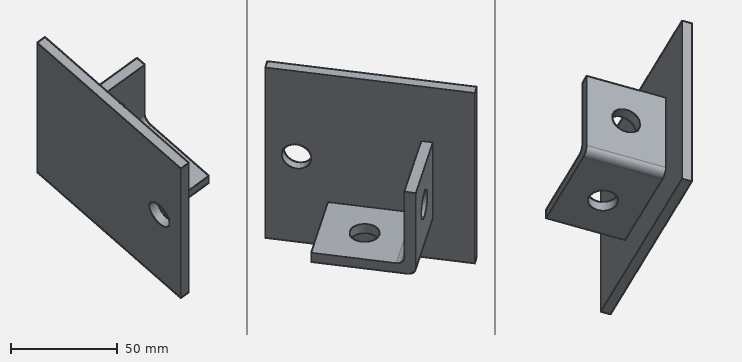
import cadquery as cq

plate_side = 100.0
plate_thickness = 5.0
plate_hole_x = 35.0
hole_diameter = 14.0

bracket_depth = 40.0
bracket_left = -30.0
bracket_bottom = -30.0
bracket_width = 50.0
bracket_height = 48.0
wall = 5.5
outer_bend_radius = 4.0
inner_bend_radius = 4.0
bracket_hole_x = -1.5
bracket_hole_z = -3.5
bracket_hole_y = plate_thickness + bracket_depth / 2


def make_plate():
    plate = cq.Workplane("XY").box(
        plate_side, plate_thickness, plate_side, centered=(True, False, True)
    )
    hole = (
        cq.Workplane("XZ")
        .center(plate_hole_x, 0)
        .circle(hole_diameter / 2)
        .extrude(-plate_thickness)
    )
    return plate.cut(hole)


def make_bracket():
    right = bracket_left + bracket_width
    top = bracket_bottom + bracket_height
    inner_x = bracket_left + wall
    inner_z = bracket_bottom + wall
    bracket = (
        cq.Workplane("XZ", origin=(0, plate_thickness, 0))
        .moveTo(bracket_left, bracket_bottom)
        .lineTo(right, bracket_bottom)
        .lineTo(right, inner_z)
        .lineTo(inner_x, inner_z)
        .lineTo(inner_x, top)
        .lineTo(bracket_left, top)
        .close()
        .extrude(-bracket_depth)
    )

    bend_y = bracket_hole_y
    outer_edge = cq.selectors.NearestToPointSelector((bracket_left, bend_y, bracket_bottom))
    inner_edge = cq.selectors.NearestToPointSelector((inner_x, bend_y, inner_z))
    bracket = bracket.edges(outer_edge).fillet(outer_bend_radius)
    bracket = bracket.edges(inner_edge).fillet(inner_bend_radius)

    floor_hole = (
        cq.Workplane("XY", origin=(bracket_hole_x, bracket_hole_y, bracket_bottom))
        .circle(hole_diameter / 2)
        .extrude(wall)
    )
    side_hole = (
        cq.Workplane("YZ", origin=(bracket_left, bracket_hole_y, bracket_hole_z))
        .circle(hole_diameter / 2)
        .extrude(wall)
    )
    return bracket.cut(floor_hole).cut(side_hole)


result = make_plate().union(make_bracket())